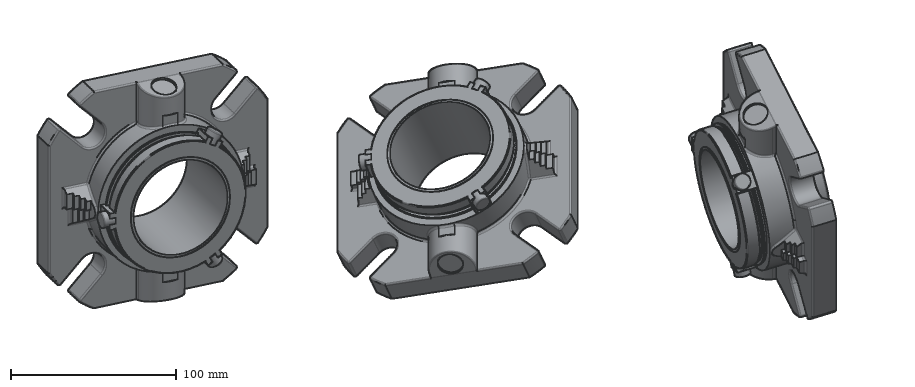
import cadquery as cq
import math

tolerance = 0.01
flange_side = 147.3
flange_thickness = 15.9
corner_count = 4
flange_corner_diameter = 170.9
flange_edge_fillet = 1.0

slot_width = 17.8
slot_center = 44.8
slot_tip_fillet = 1.3

spigot_diameter = 105.0
spigot_height = 0.3
nose_diameter = 78.5
nose_end = -10.5
nose_fillet = 1.3
bore_diameter = 63.0

housing_diameter = 97.8
housing_end = 33.6
blend_runout = 10.3
root_fillet = 1.3

seal_diameter = 88.4
seal_end = 35.0
flinger_diameter = 89.9
flinger_end = 35.8
shield_diameter = 85.5
shield_end = 36.5
sleeve_diameter = 66.6
sleeve_end = 47.1

collar_diameter = 88.4
collar_start = 38.0
collar_end = 46.7
collar_fillet = 0.6

screw_count = 3
screw_diameter = 10.0
screw_end_fillet = 0.5
screw_head_radius = 51.3
pad_radius = 47.1
pad_depth = 3.8
pad_width = 11.2

port_boss_width = 29.5
port_boss_end = 33.3
port_boss_tip_height = 68.8
port_recess_diameter = 15.5
port_recess_x = 23.7
port_recess_depth = 1.5
port_top_fillet = 0.6
port_flat_x = 32.4
port_flat_top = 56.4

rib_half_width = 12.7
rib_tip_radius = 4.4
rib_slope = 0.6
rib_treads = [(20.2, 63.5), (22.2, 59.4), (24.6, 56.3), (26.8, 53.5), (housing_end, 50.5)]


def disc(diameter, start, end):
    """Solid cylinder on the bearing axis from x = start to x = end."""
    return cq.Workplane("YZ").workplane(offset=start).circle(diameter / 2).extrude(end - start)


def flange_plate():
    """Square plate with rounded-off corners and a bolt slot open at each corner."""
    plate = cq.Workplane("YZ").rect(flange_side, flange_side).extrude(flange_thickness)
    plate = plate.intersect(disc(flange_corner_diameter, 0, flange_thickness))
    slot_length = flange_side
    slot_middle = slot_center * math.sqrt(2) + slot_length / 2
    for corner in range(corner_count):
        slot = (
            cq.Workplane("YZ")
            .center(slot_middle, 0)
            .slot2D(slot_length + slot_width, slot_width)
            .extrude(flange_thickness)
            .rotate((0, 0, 0), (1, 0, 0), (corner + 0.5) * 360 / corner_count)
        )
        plate = plate.cut(slot)
    corner_radius = flange_corner_diameter / 2

    def is_slot_tip(edge):
        center = edge.Center()
        on_corner_round = abs(math.hypot(center.y, center.z) - corner_radius) < tolerance
        inside_square = max(abs(center.y), abs(center.z)) < flange_side / 2 - tolerance
        return on_corner_round and inside_square

    plate = plate.edges("|X").filter(is_slot_tip).fillet(slot_tip_fillet)
    return plate.faces(">X").edges().fillet(flange_edge_fillet)


def port_boss():
    """Round-ended boss on the +Z side whose sloping top carries a shallow recess."""
    half_width = port_boss_width / 2
    round_x = port_boss_end - half_width
    boss = (
        cq.Workplane("XY")
        .moveTo(0, -half_width)
        .lineTo(round_x, -half_width)
        .threePointArc((port_boss_end, 0), (round_x, half_width))
        .lineTo(0, half_width)
        .close()
        .extrude(flange_side / 2)
    )
    above_slope = (
        cq.Workplane("XZ")
        .moveTo(flange_thickness, flange_side / 2)
        .lineTo(port_boss_end, port_boss_tip_height)
        .lineTo(port_boss_end, flange_side)
        .lineTo(flange_thickness, flange_side)
        .close()
        .extrude(half_width, both=True)
    )
    slope = math.atan2(flange_side / 2 - port_boss_tip_height, port_boss_end - flange_thickness)
    recess_height = flange_side / 2 - (port_recess_x - flange_thickness) * math.tan(slope)
    surface = cq.Plane(
        origin=(port_recess_x, 0, recess_height),
        xDir=(0, 1, 0),
        normal=(math.sin(slope), 0, math.cos(slope)),
    )
    recess = cq.Workplane(surface).circle(port_recess_diameter / 2).extrude(-port_recess_depth)
    end_flat = cq.Workplane("XY").box(
        flange_side, port_boss_width, port_flat_top, centered=(False, True, False)
    ).translate((port_flat_x, 0, 0))
    boss = boss.cut(above_slope)
    above_flange = cq.selectors.BoxSelector(
        (flange_thickness, -flange_side, port_flat_top), (flange_side, flange_side, flange_side)
    )
    top_rim = boss.faces(cq.selectors.DirectionMinMaxSelector(surface.zDir, True)).edges(above_flange)
    return top_rim.fillet(port_top_fillet).cut(recess).cut(end_flat)


def stairs(treads, z_start, z_end):
    """Flight of stairs on the +Y side, given from its highest tread to its lowest."""
    flight = None
    for tread_end, height in treads:
        step = cq.Workplane("XY").box(
            tread_end, height, z_end - z_start, centered=False
        ).translate((0, 0, z_start))
        flight = flight.union(step) if flight else step
    return flight


def rib_wedge():
    """Triangular block on the +Y side, pointing along +X with a rounded tip."""
    apex_x = flange_thickness + rib_half_width / rib_slope
    root_half_width = rib_slope * apex_x
    return (
        cq.Workplane("XZ")
        .polyline([(0, -root_half_width), (apex_x, 0), (0, root_half_width)])
        .close()
        .extrude(-flange_side / 2)
        .edges("|Y and >X")
        .fillet(rib_tip_radius)
    )


def stepped_rib():
    """Rib falling in stairs towards the housing end; its +Z half lies one step lower."""
    reach = flange_side / 2
    ends = [end for end, height in rib_treads]
    heights = [height for end, height in rib_treads]
    lower_heights = heights[1:] + heights[-1:]
    high_half = stairs(rib_treads, -reach, 0)
    low_half = stairs(list(zip(ends, lower_heights)), 0, reach)
    return rib_wedge().intersect(high_half.union(low_half))


def screw_pad():
    """Pad on the +Y side of the collar with a radial locking screw."""
    pad = (
        cq.Workplane("XY")
        .box(collar_end - housing_end, pad_depth, pad_width, centered=(False, False, True))
        .translate((housing_end, pad_radius - pad_depth, 0))
    )
    screw_x = sleeve_end - screw_diameter / 2
    screw_root = pad_radius - pad_depth
    screw = (
        cq.Workplane("XZ", origin=(screw_x, screw_root, 0))
        .circle(screw_diameter / 2)
        .extrude(screw_root - screw_head_radius)
        .faces(">Y")
        .edges()
        .fillet(screw_end_fillet)
    )
    return pad.union(screw)


def root_edges(body):
    """Edges where bosses and ribs leave the housing, the housing the flange, and the ribs the flange."""

    def lies_on_flange(edge):
        box = edge.BoundingBox()
        return box.xmax - box.xmin < tolerance and abs(box.xmin - flange_thickness) < tolerance

    def lies_on_housing(edge):
        points = [edge.positionAt(share) for share in (0, 0.5, 1)]
        return all(abs(math.hypot(p.y, p.z) - housing_diameter / 2) < tolerance for p in points)

    def is_root(edge):
        center = edge.Center()
        on_rib = abs(center.z) < rib_half_width + tolerance and abs(center.y) < rib_treads[0][1] + tolerance
        before_end = center.x < housing_end
        return (lies_on_housing(edge) and before_end) or (lies_on_flange(edge) and on_rib)

    return body.edges().filter(is_root)


def flanged_housing():
    """Flange and housing with bosses on +Z and -Z and stepped ribs on +Y and -Y, blended together."""
    long_end = housing_end + blend_runout
    body = flange_plate().union(disc(housing_diameter, 0, long_end))
    for turn in (0, 180):
        body = body.union(port_boss().rotate((0, 0, 0), (1, 0, 0), turn))
        body = body.union(stepped_rib().rotate((0, 0, 0), (1, 0, 0), turn))
    body = root_edges(body).fillet(root_fillet)
    return body.cut(disc(2 * flange_side, housing_end, long_end))


body = flanged_housing()
body = body.union(disc(spigot_diameter, -spigot_height, flange_thickness))

nose = disc(nose_diameter, nose_end, 0).faces("<X").edges().fillet(nose_fillet)
body = body.union(nose)
body = body.union(disc(seal_diameter, housing_end, seal_end))
body = body.union(disc(flinger_diameter, seal_end, flinger_end))
body = body.union(disc(shield_diameter, flinger_end, shield_end))
body = body.union(disc(sleeve_diameter, shield_end, sleeve_end))
collar = disc(collar_diameter, collar_start, collar_end).edges().fillet(collar_fillet)
body = body.union(collar)
for index in range(screw_count):
    angle = 180 + 360 / screw_count * index
    body = body.union(screw_pad().rotate((0, 0, 0), (1, 0, 0), angle))

result = body.cut(disc(bore_diameter, nose_end, sleeve_end))